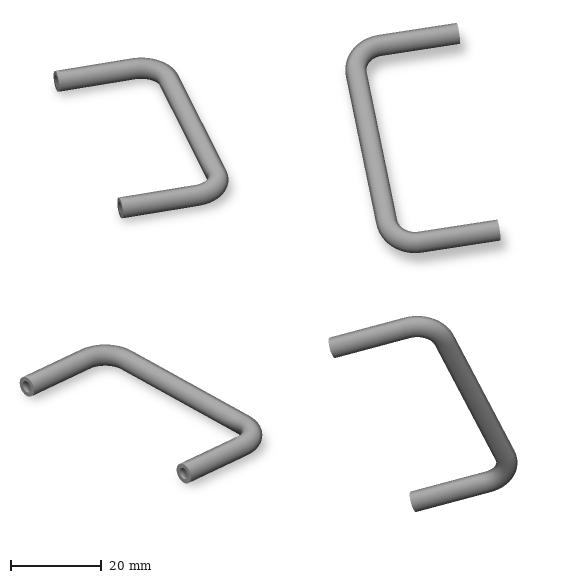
import cadquery as cq
import math

overall_width = 55.45
overall_depth = 26.25
rod_diameter = 4.65
bend_outer_radius = 8.65
hole_diameter = 2.65
hole_depth = 10.0
drill_tip_angle = 118.0

rod_radius = rod_diameter / 2
leg_x = overall_width / 2 - rod_radius
bend_radius = bend_outer_radius - rod_radius
grip_y = overall_depth - rod_radius
bend_y = grip_y - bend_radius
grip_end_x = leg_x - bend_radius


def bent_rod():
    """Round rod swept along the U-shaped centreline, leg ends on Y = 0."""
    centreline = (
        cq.Workplane("XY")
        .moveTo(-leg_x, 0)
        .lineTo(-leg_x, bend_y)
        .radiusArc((-grip_end_x, grip_y), bend_radius)
        .lineTo(grip_end_x, grip_y)
        .radiusArc((leg_x, bend_y), bend_radius)
        .lineTo(leg_x, 0)
    )
    return cq.Workplane("XZ", origin=(-leg_x, 0, 0)).circle(rod_radius).sweep(centreline)


def end_hole(x):
    """Blind drilled hole with a conical tip, entering a leg end along +Y."""
    hole_radius = hole_diameter / 2
    tip_length = hole_radius / math.tan(math.radians(drill_tip_angle / 2))
    return (
        cq.Workplane("XY", origin=(x, 0, 0))
        .lineTo(hole_radius, 0)
        .lineTo(hole_radius, hole_depth)
        .lineTo(0, hole_depth + tip_length)
        .close()
        .revolve(360, (0, 0, 0), (0, 1, 0))
    )


result = bent_rod()
for side in (-1, 1):
    result = result.cut(end_hole(side * leg_x))